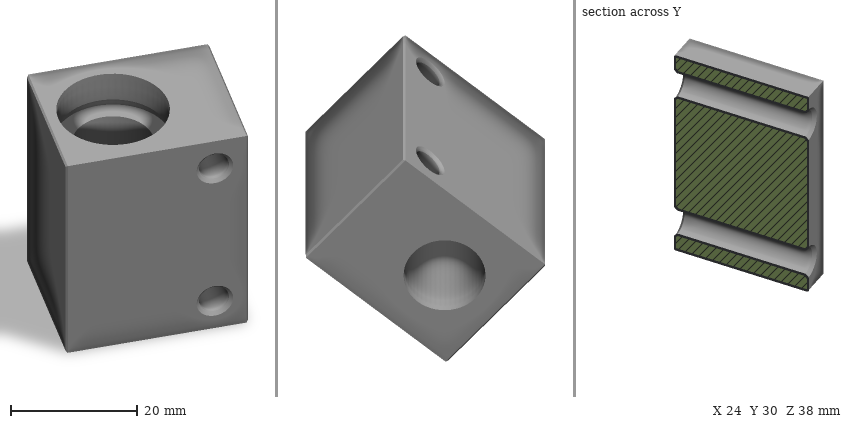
import cadquery as cq

width = 24.0
depth = 30.0
height = 38.0
edge_chamfer = 0.3

bore_diameter = 13.0
seat_diameter = 18.0
seat_depth = 6.65
undercut_diameter = 19.0
undercut_height = 1.4
bore_from_front = 11.0

hole_diameter = 4.9
countersink_diameter = 6.0
hole_inset = 5.5

bore_y = bore_from_front - depth / 2
hole_y = depth / 2 - hole_inset
hole_heights = (hole_inset, height - hole_inset)


def make_block():
    """Block with the edges of its front and back faces chamfered."""
    block = cq.Workplane("XY").box(width, depth, height, centered=(True, True, False))
    return block.faces("<Y or >Y").edges().chamfer(edge_chamfer)


def vertical_cylinder(diameter, bottom, length):
    """Cylinder on the bore axis."""
    return cq.Workplane("XY", origin=(0, bore_y, bottom)).circle(diameter / 2).extrude(length)


def make_stepped_bore():
    """Through bore with a seat at the top and a ring undercut on the seat floor."""
    seat_floor = height - seat_depth
    bore = vertical_cylinder(bore_diameter, 0, height)
    seat = vertical_cylinder(seat_diameter, seat_floor, seat_depth)
    undercut = vertical_cylinder(undercut_diameter, seat_floor, undercut_height)
    return bore.union(seat).union(undercut)


def make_cross_hole(hole_z):
    """Through hole along X, revolved with a 45 degree countersink at each end."""
    hole_radius = hole_diameter / 2
    rim_radius = countersink_diameter / 2
    side_x = width / 2
    inner_x = side_x - (rim_radius - hole_radius)
    profile = (
        cq.Workplane("XY", origin=(0, hole_y, hole_z))
        .moveTo(-side_x, 0)
        .lineTo(-side_x, rim_radius)
        .lineTo(-inner_x, hole_radius)
        .lineTo(inner_x, hole_radius)
        .lineTo(side_x, rim_radius)
        .lineTo(side_x, 0)
        .close()
    )
    return profile.revolve(360, (0, 0, 0), (1, 0, 0))


result = make_block().cut(make_stepped_bore())
for hole_z in hole_heights:
    result = result.cut(make_cross_hole(hole_z))